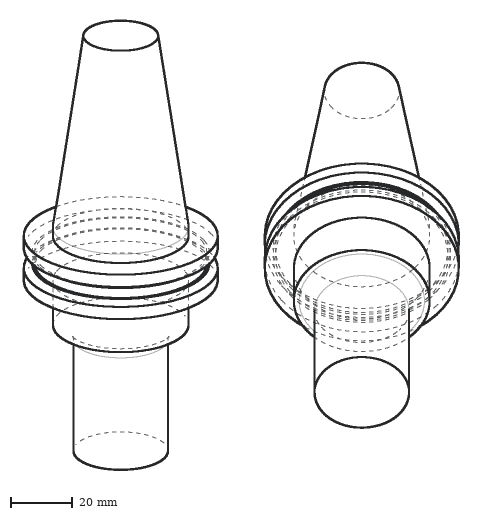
import cadquery as cq
import math


gauge_diameter = 44.45
taper_length = 68.25
taper_ratio = 7 / 24
small_end_diameter = gauge_diameter - taper_ratio * taper_length

flange_diameter = 63.5
flange_top = -3.175
flange_bottom = -19.05

groove_center = (flange_top + flange_bottom) / 2
channel_width = 3.9
channel_mouth_diameter = 58.0
channel_floor_diameter = 56.36
groove_wall_angle = 30

body_diameter = gauge_diameter
body_bottom = -35.0
nose_diameter = 31.0
nose_bottom = -80.0
nose_fillet_radius = 5.0

small_end_radius = small_end_diameter / 2
gauge_radius = gauge_diameter / 2
flange_radius = flange_diameter / 2
channel_mouth_radius = channel_mouth_diameter / 2
channel_floor_radius = channel_floor_diameter / 2
body_radius = body_diameter / 2
nose_radius = nose_diameter / 2


def make_blank():
    """Revolve the holder without its groove; profile points are (radius, height)."""
    profile = (
        cq.Workplane("XZ")
        .moveTo(0, taper_length)
        .lineTo(small_end_radius, taper_length)
        .lineTo(gauge_radius, 0)
        .lineTo(gauge_radius, flange_top)
        .lineTo(flange_radius, flange_top)
        .lineTo(flange_radius, flange_bottom)
        .lineTo(body_radius, flange_bottom)
        .lineTo(body_radius, body_bottom)
        .lineTo(nose_radius + nose_fillet_radius, body_bottom)
        .radiusArc((nose_radius, body_bottom - nose_fillet_radius), -nose_fillet_radius)
        .lineTo(nose_radius, nose_bottom)
        .lineTo(0, nose_bottom)
        .close()
    )
    return profile.revolve(360, (0, 0, 0), (0, 1, 0))


def make_groove_cutter():
    """Ring with the cross-section of the gripper groove."""
    wall_depth = flange_radius - channel_mouth_radius
    channel_half_width = channel_width / 2
    rim_half_width = channel_half_width + wall_depth * math.tan(math.radians(groove_wall_angle))
    profile = (
        cq.Workplane("XZ")
        .moveTo(flange_radius, groove_center + rim_half_width)
        .lineTo(channel_mouth_radius, groove_center + channel_half_width)
        .lineTo(channel_floor_radius, groove_center + channel_half_width)
        .lineTo(channel_floor_radius, groove_center - channel_half_width)
        .lineTo(channel_mouth_radius, groove_center - channel_half_width)
        .lineTo(flange_radius, groove_center - rim_half_width)
        .close()
    )
    return profile.revolve(360, (0, 0, 0), (0, 1, 0))


result = make_blank().cut(make_groove_cutter())